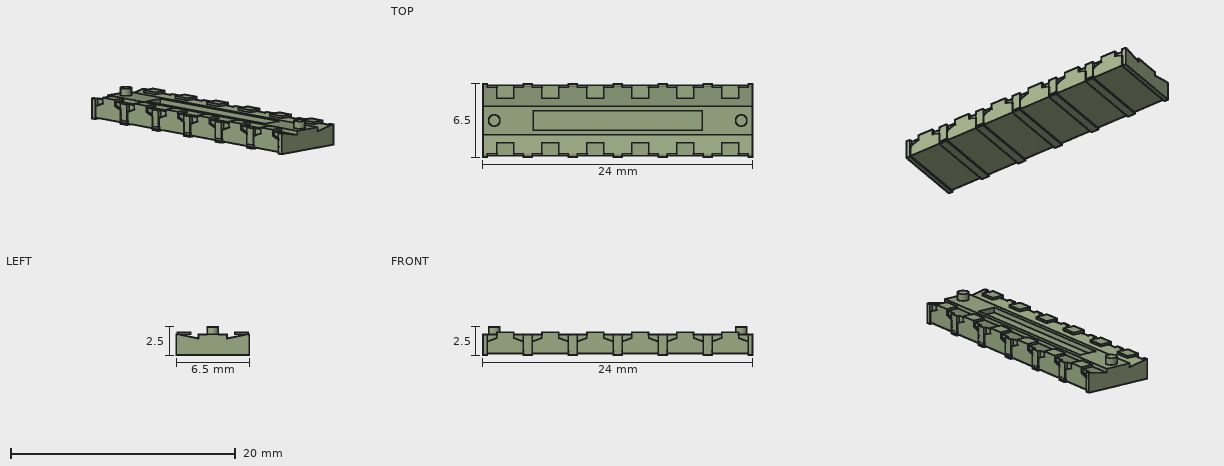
import cadquery as cq

LENGTH = 24.0
WIDTH = 6.5
TOTAL_HEIGHT = 2.5
STATIONS = 6
PITCH = LENGTH / STATIONS

DECK_HEIGHT = 1.85
DECK_WIDTH = 2.55
GROOVE_DEPTH = 0.35
LIP_WIDTH = 0.2
RIB_WIDTH = 0.8
SIDE_STANDOFF = 0.1
BOTTOM_STANDOFF = 0.12
POCKET_LENGTH = 15.02
POCKET_WIDTH = 1.73
POCKET_DEPTH = 0.48
PIN_DIAMETER = 1.0
PIN_END_DISTANCE = 1.0

SHEET = 0.2
CLIP_WIDTH = WIDTH - 2 * SIDE_STANDOFF
PAD_WIDTH = 1.5
PAD_REACH = 1.18
PAD_TOP = DECK_HEIGHT + SHEET
SHOULDER_HIGH = 1.5
SHOULDER_LOW = 1.2

TAB_HALF_WIDTH = (PITCH - RIB_WIDTH) / 2
STATION_CENTERS = [(i - (STATIONS - 1) / 2) * PITCH for i in range(STATIONS)]


def box(x_size, y_size, z_bottom, z_top, x=0, y=0):
    """Box centred on (x, y) between two heights."""
    return (
        cq.Workplane("XY", origin=(x, y, z_bottom))
        .box(x_size, y_size, z_top - z_bottom, centered=(True, True, False))
    )


def make_tab(x, side):
    """Upright shouldered tab whose narrow top folds inward as a flat pad."""
    outer_face = side * CLIP_WIDTH / 2
    right_half = [
        (TAB_HALF_WIDTH, BOTTOM_STANDOFF),
        (TAB_HALF_WIDTH, SHOULDER_LOW),
        (PAD_WIDTH / 2, SHOULDER_HIGH),
        (PAD_WIDTH / 2, PAD_TOP),
    ]
    left_half = [(-px, pz) for px, pz in reversed(right_half)]
    upright = (
        cq.Workplane("XZ", origin=(x, outer_face, 0))
        .polyline(right_half + left_half)
        .close()
        .extrude(side * SHEET)
    )
    pad_center = outer_face - side * PAD_REACH / 2
    return upright.union(box(PAD_WIDTH, PAD_REACH, DECK_HEIGHT, PAD_TOP, x, pad_center))


def make_clip():
    """One folded sheet: a base plate carrying a row of tabs along each side."""
    clip = box(LENGTH - RIB_WIDTH, CLIP_WIDTH, BOTTOM_STANDOFF, BOTTOM_STANDOFF + SHEET)
    for x in STATION_CENTERS:
        for side in (-1, 1):
            clip = clip.union(make_tab(x, side))
    return clip


def make_core():
    """Bar with a centre deck, and a groove along each side sloping up to a narrow outer lip."""
    groove_floor = DECK_HEIGHT - GROOVE_DEPTH
    right_half = [
        (WIDTH / 2, 0),
        (WIDTH / 2, DECK_HEIGHT),
        (WIDTH / 2 - LIP_WIDTH, DECK_HEIGHT),
        (DECK_WIDTH / 2, groove_floor),
        (DECK_WIDTH / 2, DECK_HEIGHT),
    ]
    left_half = [(-py, pz) for py, pz in reversed(right_half)]
    return (
        cq.Workplane("YZ", origin=(-LENGTH / 2, 0, 0))
        .polyline(right_half + left_half)
        .close()
        .extrude(LENGTH)
    )


def make_bays(x):
    """Space between neighbouring ribs: outside the clip, and above its tab shoulders."""
    bay_width = 2 * TAB_HALF_WIDTH
    bays = box(bay_width, WIDTH, 0, BOTTOM_STANDOFF, x)
    for side in (-1, 1):
        standoff_center = side * (WIDTH - SIDE_STANDOFF) / 2
        sheet_center = side * (CLIP_WIDTH - SHEET) / 2
        bays = bays.union(box(bay_width, SIDE_STANDOFF, 0, DECK_HEIGHT, x, standoff_center))
        bays = bays.union(box(bay_width, SHEET, BOTTOM_STANDOFF, DECK_HEIGHT, x, sheet_center))
    return bays


def make_housing(clip):
    """Ribbed bar with a pocket and two locating pins, moulded around the clip."""
    housing = make_core()
    for x in STATION_CENTERS:
        housing = housing.cut(make_bays(x))
    housing = housing.cut(clip)
    housing = housing.cut(
        box(POCKET_LENGTH, POCKET_WIDTH, DECK_HEIGHT - POCKET_DEPTH, DECK_HEIGHT)
    )
    pin_x = LENGTH / 2 - PIN_END_DISTANCE
    pins = (
        cq.Workplane("XY", origin=(0, 0, DECK_HEIGHT))
        .pushPoints([(-pin_x, 0), (pin_x, 0)])
        .circle(PIN_DIAMETER / 2)
        .extrude(TOTAL_HEIGHT - DECK_HEIGHT)
    )
    return housing.union(pins)


clip = make_clip()
housing = make_housing(clip)

result = cq.Compound.makeCompound([housing.val(), clip.val()])